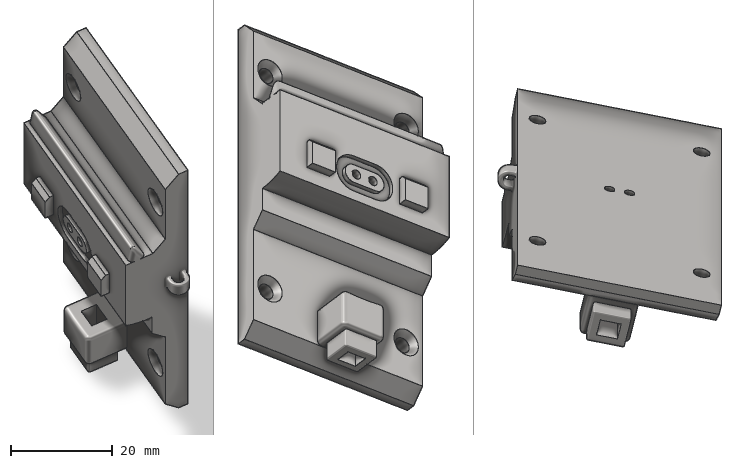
import math

import cadquery as cq


plate_width = 41.0
plate_height = 73.5
plate_depth = 5.1
plate_bevel = 3.0

block_depth = 14.0
block_top = 52.1
block_bottom = 33.1
underside_radius = 16.0
underside_low_depth = 8.5
ledge_depth = 7.9
step_depth = 8.1
step_bottom = 27.1

screw_diameter = 3.3
screw_head_diameter = 5.9
screw_head_angle = 90.0
screw_spacing_x = 33.0
screw_low = 11.75
screw_high = 62.2

lip_back_depth = 9.5
lip_front_depth = 13.0
lip_tip_depth = 11.9
lip_height = 3.5
lip_tip_radius = 0.55
lip_end_radius = 1.0

lug_inner_x = 8.5
lug_outer_x = 14.0
lug_depth = 1.9
lug_bottom = 36.4
lug_top = 42.4
lug_bevel = 1.0

contact_z = 39.3
recess_length = 13.6
recess_height = 8.2
recess_depth = 1.0
island_length = 9.4
island_height = 4.1
pin_diameter = 2.0
pin_spacing = 4.0

loop_z = 41.15
loop_depth = 2.75
loop_reach = 3.3
loop_outer_radius = 2.2
loop_thickness = 1.1
loop_height = 3.15
loop_edge_radius = 0.5
loop_root_radius = 0.4

plug_width = 10.0
plug_bottom = 3.1
plug_height = 8.5
plug_top_sag = 0.3
plug_edge_radius = 1.0
tail_width = 7.6
tail_back_depth = 6.3
tail_front_depth = 13.0
tail_bottom = -0.84
tail_edge_radius = 0.4
socket_width = 4.2
socket_length = 3.4


def body():
    """Plate, block and step as one side profile, extruded across the full width."""
    ledge_rise = ledge_depth - plate_depth
    step_rise = step_depth - plate_depth
    arc_centre_z = block_bottom + math.sqrt(underside_radius**2 - (block_depth - underside_low_depth) ** 2)

    def underside_point(depth):
        sag = math.sqrt(underside_radius**2 - (depth - underside_low_depth) ** 2)
        return -depth, arc_centre_z - sag

    arc_middle = underside_point((step_depth + block_depth) / 2)
    return (
        cq.Workplane("YZ")
        .moveTo(0, 0)
        .lineTo(-(plate_depth - plate_bevel), 0)
        .lineTo(-plate_depth, plate_bevel)
        .lineTo(-plate_depth, step_bottom - step_rise)
        .lineTo(-step_depth, step_bottom)
        .lineTo(*underside_point(step_depth))
        .threePointArc(arc_middle, (-block_depth, block_bottom))
        .lineTo(-block_depth, block_top)
        .lineTo(-ledge_depth, block_top)
        .lineTo(-plate_depth, block_top + ledge_rise)
        .lineTo(-plate_depth, plate_height - plate_bevel)
        .lineTo(-(plate_depth - plate_bevel), plate_height)
        .lineTo(0, plate_height)
        .close()
        .extrude(plate_width / 2, both=True)
    )


def tangent_point(base, centre, radius, side):
    """Point where the line from base touches the circle, on its left (+1) or right (-1)."""
    run = base[0] - centre[0]
    rise = base[1] - centre[1]
    angle = math.atan2(rise, run) + side * math.acos(radius / math.hypot(run, rise))
    return centre[0] + radius * math.cos(angle), centre[1] + radius * math.sin(angle)


def lip():
    """Wedge with a rounded tip and rounded ends."""
    back = (-lip_back_depth, block_top)
    front = (-lip_front_depth, block_top)
    tip_centre = (-lip_tip_depth, block_top + lip_height - lip_tip_radius)
    tip = (-lip_tip_depth, block_top + lip_height)
    back_tangent = tangent_point(back, tip_centre, lip_tip_radius, 1)
    front_tangent = tangent_point(front, tip_centre, lip_tip_radius, -1)
    wedge = (
        cq.Workplane("YZ")
        .moveTo(*back)
        .lineTo(*back_tangent)
        .threePointArc(tip, front_tangent)
        .lineTo(*front)
        .close()
        .extrude(plate_width / 2, both=True)
    )
    end_edges = wedge.faces("<X or >X").edges("not <Z")
    return end_edges.fillet(lip_end_radius)


def lug(side):
    """Bevelled lug on the block front, on the +X (side = 1) or -X (side = -1) half."""
    front = block_depth + lug_depth
    return (
        cq.Workplane("YZ", origin=(side * (lug_inner_x + lug_outer_x) / 2, 0, 0))
        .moveTo(-block_depth, lug_bottom)
        .lineTo(-front, lug_bottom)
        .lineTo(-front, lug_top - lug_bevel)
        .lineTo(-(front - lug_bevel), lug_top)
        .lineTo(-block_depth, lug_top)
        .close()
        .extrude((lug_outer_x - lug_inner_x) / 2, both=True)
    )


def contact_recess():
    """Material removed around the contact island."""
    front = cq.Workplane("XZ", origin=(0, -block_depth, contact_z))
    recess = front.slot2D(recess_length, recess_height).extrude(-recess_depth)
    island = front.slot2D(island_length, island_height).extrude(-recess_depth)
    return recess.cut(island)


def pin_holes():
    return (
        cq.Workplane("XZ", origin=(0, 0, contact_z))
        .pushPoints([(-pin_spacing / 2, 0), (pin_spacing / 2, 0)])
        .circle(pin_diameter / 2)
        .extrude(block_depth)
    )


def loop():
    """Half ring on two straight legs, with all its long edges rounded."""
    wall_x = plate_width / 2
    centre_x = wall_x + loop_reach - loop_outer_radius

    def stadium_half(radius):
        return (
            cq.Workplane("XY", origin=(0, -loop_depth, loop_z - loop_height / 2))
            .moveTo(wall_x, radius)
            .lineTo(centre_x, radius)
            .threePointArc((centre_x + radius, 0), (centre_x, -radius))
            .lineTo(wall_x, -radius)
            .close()
            .extrude(loop_height)
        )

    ring = stadium_half(loop_outer_radius).cut(stadium_half(loop_outer_radius - loop_thickness))
    return ring.faces("<Z or >Z").edges("not <X").fillet(loop_edge_radius)


def plug():
    """Rounded housing with a slightly hollow top, a narrower tail and a rectangular socket through both."""
    half_width = plug_width / 2
    plug_top = plug_bottom + plug_height
    housing = (
        cq.Workplane("XZ", origin=(0, -plate_depth, 0))
        .moveTo(-half_width, plug_bottom)
        .lineTo(half_width, plug_bottom)
        .lineTo(half_width, plug_top)
        .threePointArc((0, plug_top - plug_top_sag), (-half_width, plug_top))
        .close()
        .extrude(block_depth - plate_depth)
        .edges("not >Y")
        .fillet(plug_edge_radius)
    )
    tail_length = tail_front_depth - tail_back_depth
    tail_centre_y = -(tail_front_depth + tail_back_depth) / 2
    tail = (
        cq.Workplane("XY", origin=(0, tail_centre_y, tail_bottom))
        .rect(tail_width, tail_length)
        .extrude(plug_bottom + plug_edge_radius - tail_bottom)
        .edges("|Z or <Z")
        .fillet(tail_edge_radius)
    )
    socket = (
        cq.Workplane("XY", origin=(0, tail_centre_y, tail_bottom))
        .rect(socket_width, socket_length)
        .extrude(plug_top - tail_bottom)
    )
    return housing.union(tail).cut(socket)


def screw_holes(part):
    half_spacing = screw_spacing_x / 2
    places = [(x, z) for x in (-half_spacing, half_spacing) for z in (screw_low, screw_high)]
    return (
        part.copyWorkplane(cq.Workplane("XZ", origin=(0, -plate_depth, 0)))
        .pushPoints(places)
        .cskHole(screw_diameter, screw_head_diameter, screw_head_angle)
    )


def add_loop(part):
    """Join the loop to the side of the plate and round the roots of its legs."""
    wall_x = plate_width / 2
    half_box = loop_outer_radius + loop_edge_radius
    near_legs = cq.selectors.BoxSelector(
        (wall_x - loop_edge_radius, -loop_depth - half_box, loop_z - half_box),
        (wall_x + loop_edge_radius, -loop_depth + half_box, loop_z + half_box),
    )
    return part.union(loop()).edges(near_legs).fillet(loop_root_radius)


result = body()
result = screw_holes(result)
result = add_loop(result)
result = result.union(lip()).union(plug())
for half in (-1, 1):
    result = result.union(lug(half))
result = result.cut(contact_recess()).cut(pin_holes())